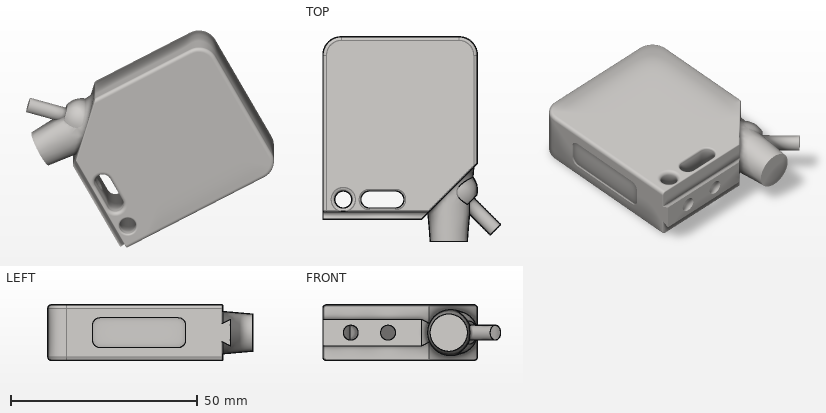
import cadquery as cq
import math

BODY_WIDTH = 41.5
BODY_LENGTH = 47.0
BODY_HEIGHT = 15.0
CORNER_RADIUS = 5.0
RIM_FILLET = 1.0
CUT_RIM_FILLET = 0.3
BEVEL_LEG = 13.0

RAIL_DEPTH = 2.0
RAIL_TIP_WIDTH = 7.1
RAIL_NECK_WIDTH = 5.1
RAIL_HOLE_DIAMETER = 4.0
RAIL_HOLE_DEPTH = 4.0
RAIL_HOLE_X = (7.5, 17.5)

MOUNT_Y = 3.3
MOUNT_DIAMETER = 4.5
HOLE_X = 5.5
SLOT_X = 16.0
SLOT_TRAVEL = 7.0
LARGE_MOUTH_ROUND = 1.0
SMALL_MOUTH_ROUND = 0.5

WINDOW_LENGTH = 25.0
WINDOW_HEIGHT = 8.0
WINDOW_START_Y = 10.0
WINDOW_CORNER = 2.0
WINDOW_DEPTH = 0.5

CONNECTOR_X = 33.8
CONNECTOR_REACH = 8.0
CONNECTOR_TIP_RADIUS = 5.0
CONNECTOR_TAPER_ANGLE = 5.0

DOME_RADIUS = 5.8
DOME_OFFSET = 1.0
BOOT_REACH = 5.9
CABLE_DIAMETER = 4.0
CABLE_REACH = 16.0

HALF_HEIGHT = BODY_HEIGHT / 2
BEVEL_START_X = BODY_WIDTH - BEVEL_LEG
EMBED = 0.5


def bevel_point(distance):
    """Point at a distance out from the middle of the bevel face."""
    step = distance / math.sqrt(2)
    return cq.Vector(BODY_WIDTH - BEVEL_LEG / 2 + step, BEVEL_LEG / 2 - step, 0)


def bevel_plane(distance):
    """Plane parallel to the bevel, with its normal pointing outwards."""
    return cq.Plane(origin=bevel_point(distance), xDir=(0, 0, 1), normal=(1, -1, 0))


def make_housing():
    block = (
        cq.Workplane("XY", origin=(0, 0, -HALF_HEIGHT))
        .rect(BODY_WIDTH, BODY_LENGTH, centered=False)
        .extrude(BODY_HEIGHT)
        .edges("|Z and >Y")
        .fillet(CORNER_RADIUS)
        .faces("<Z or >Z")
        .edges("not <Y")
        .fillet(RIM_FILLET)
    )
    keep = (
        cq.Workplane("XY", origin=(0, 0, -HALF_HEIGHT))
        .polyline([
            (0, 0),
            (BEVEL_START_X, 0),
            (BODY_WIDTH, BEVEL_LEG),
            (BODY_WIDTH, BODY_LENGTH),
            (0, BODY_LENGTH),
        ])
        .close()
        .extrude(BODY_HEIGHT)
    )
    housing = block.intersect(keep)
    toward_bevel = cq.selectors.DirectionMinMaxSelector(cq.Vector(1, -1, 0))
    lower_edges = housing.faces("<Y").edges()
    bevel_edges = housing.faces(toward_bevel).edges("not |Z")
    return housing.newObject(lower_edges.vals() + bevel_edges.vals()).fillet(CUT_RIM_FILLET)


def make_rail():
    neck_half = RAIL_NECK_WIDTH / 2
    tip_half = RAIL_TIP_WIDTH / 2
    root_half = neck_half - EMBED * (tip_half - neck_half) / RAIL_DEPTH
    rail = (
        cq.Workplane("YZ")
        .polyline([
            (EMBED, -root_half),
            (-RAIL_DEPTH, -tip_half),
            (-RAIL_DEPTH, tip_half),
            (EMBED, root_half),
        ])
        .close()
        .extrude(BODY_WIDTH)
    )
    end_x = BEVEL_START_X - RAIL_DEPTH
    keep = (
        cq.Workplane("XY", origin=(0, 0, -HALF_HEIGHT))
        .polyline([
            (0, -RAIL_DEPTH),
            (end_x, -RAIL_DEPTH),
            (BEVEL_START_X + EMBED, EMBED),
            (0, EMBED),
        ])
        .close()
        .extrude(BODY_HEIGHT)
    )
    return rail.intersect(keep)


def through_opening(center_x, travel):
    start = cq.Workplane("XY", origin=(center_x, MOUNT_Y, -HALF_HEIGHT))
    if travel == 0:
        return start.circle(MOUNT_DIAMETER / 2).extrude(BODY_HEIGHT)
    return start.slot2D(travel + MOUNT_DIAMETER, MOUNT_DIAMETER).extrude(BODY_HEIGHT)


def flare_section(workplane, side, radius):
    """Half section of a mouth, from its axis out to the convex round."""
    inner = MOUNT_DIAMETER / 2
    mouth_z = side * HALF_HEIGHT
    throat_z = mouth_z - side * radius
    bend = radius * (1 - math.sqrt(0.5))
    return (
        workplane.moveTo(0, throat_z)
        .lineTo(inner, throat_z)
        .threePointArc((inner + bend, mouth_z - side * bend), (inner + radius, mouth_z))
        .lineTo(0, mouth_z)
        .close()
    )


def round_flare(x, side, radius):
    workplane = cq.Workplane("XZ", origin=(x, MOUNT_Y, 0))
    return flare_section(workplane, side, radius).revolve(360, (0, 0), (0, 1))


def straight_flare(center_x, travel, side, radius):
    workplane = cq.Workplane("YZ", origin=(center_x - travel / 2, MOUNT_Y, 0))
    half = flare_section(workplane, side, radius).extrude(travel)
    return half.union(half.mirror("XZ", (center_x, MOUNT_Y, 0)))


def mount_cutter(center_x, travel, top_round, bottom_round):
    """Through opening whose mouths flare out over convex rounds; zero travel gives a hole."""
    cutter = through_opening(center_x, travel)
    for side, radius in ((1, top_round), (-1, bottom_round)):
        cutter = cutter.union(round_flare(center_x - travel / 2, side, radius))
        if travel > 0:
            cutter = cutter.union(round_flare(center_x + travel / 2, side, radius))
            cutter = cutter.union(straight_flare(center_x, travel, side, radius))
    return cutter


def make_rail_holes():
    return (
        cq.Workplane("XZ", origin=(0, -RAIL_DEPTH, 0))
        .pushPoints([(x, 0) for x in RAIL_HOLE_X])
        .circle(RAIL_HOLE_DIAMETER / 2)
        .extrude(-RAIL_HOLE_DEPTH)
    )


def make_window():
    return (
        cq.Workplane("YZ", origin=(0, WINDOW_START_Y + WINDOW_LENGTH / 2, 0))
        .rect(WINDOW_LENGTH, WINDOW_HEIGHT)
        .extrude(WINDOW_DEPTH)
        .edges("|X")
        .fillet(WINDOW_CORNER)
    )


def outside_bevel():
    """Large block on the outer side of the bevel, sunk slightly into the housing."""
    span = 4 * BODY_WIDTH
    return cq.Workplane(bevel_plane(-EMBED)).rect(span, span).extrude(span)


def make_connector():
    length = CONNECTOR_REACH + BEVEL_LEG
    root_radius = CONNECTOR_TIP_RADIUS + length * math.tan(math.radians(CONNECTOR_TAPER_ANGLE))
    cone = cq.Workplane("XY").add(
        cq.Solid.makeCone(
            CONNECTOR_TIP_RADIUS,
            root_radius,
            length,
            pnt=cq.Vector(CONNECTOR_X, -CONNECTOR_REACH, 0),
            dir=cq.Vector(0, 1, 0),
        )
    )
    return cone.intersect(outside_bevel())


def make_boot():
    dome = cq.Workplane("XY").sphere(DOME_RADIUS).translate(bevel_point(DOME_OFFSET))
    reach = cq.Workplane(bevel_plane(-EMBED)).circle(DOME_RADIUS).extrude(BOOT_REACH + EMBED)
    return dome.intersect(reach)


def make_cable():
    return cq.Workplane(bevel_plane(0)).circle(CABLE_DIAMETER / 2).extrude(CABLE_REACH)


result = (
    make_housing()
    .union(make_rail())
    .union(make_connector())
    .union(make_boot())
    .union(make_cable())
    .cut(make_rail_holes())
    .cut(mount_cutter(HOLE_X, 0, LARGE_MOUTH_ROUND, SMALL_MOUTH_ROUND))
    .cut(mount_cutter(SLOT_X, SLOT_TRAVEL, SMALL_MOUTH_ROUND, LARGE_MOUTH_ROUND))
    .cut(make_window())
)